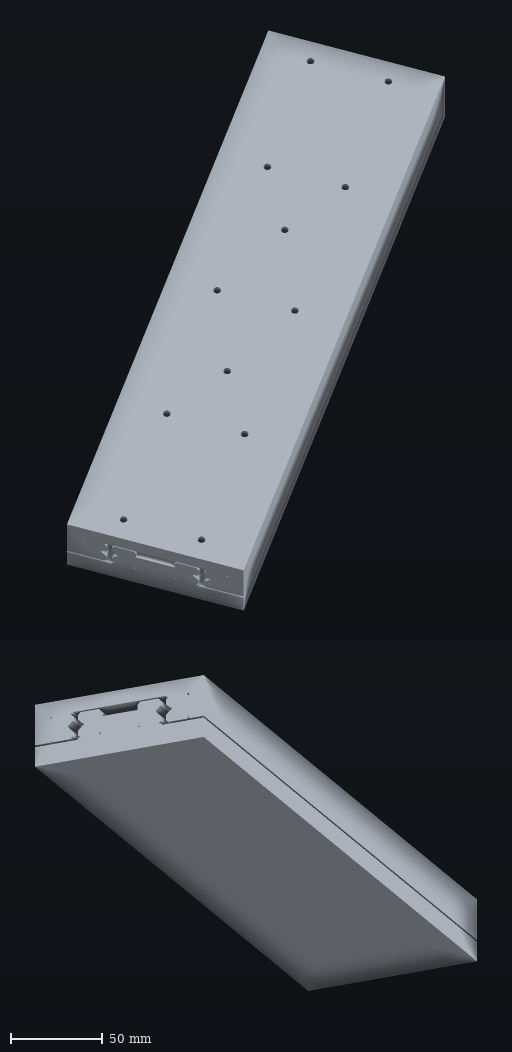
import cadquery as cq

LENGTH = 355.5
WIDTH = 101.7
HEIGHT = 36.5
HALF_WIDTH = WIDTH / 2
TOP_Z = HEIGHT / 2
BOTTOM_Z = -HEIGHT / 2

RAIL_HEIGHT = 15.0
RAIL_WIDTH = 14.0
RAIL_CHAMFER = 1.5
OUTER_RAIL_BACK_X = 42.0
INNER_RAIL_BACK_X = 11.0
OUTER_RAIL_FACE_X = OUTER_RAIL_BACK_X - RAIL_WIDTH
INNER_RAIL_FACE_X = INNER_RAIL_BACK_X + RAIL_WIDTH

VEE_DEPTH = 2.5
RELIEF_WIDTH = 1.5
RELIEF_DEPTH = 3.2
VEE_HALF_HEIGHT = VEE_DEPTH + RELIEF_WIDTH / 2

ROOF_GAP = 0.7
BASE_GAP = 1.0
RAIL_BOTTOM_Z = -5.7
RAIL_TOP_Z = RAIL_BOTTOM_Z + RAIL_HEIGHT
RAIL_MID_Z = RAIL_BOTTOM_Z + RAIL_HEIGHT / 2
RECESS_TOP_Z = RAIL_TOP_Z + ROOF_GAP
TABLE_BOTTOM_Z = RAIL_BOTTOM_Z
BASE_TOP_Z = RAIL_BOTTOM_Z - BASE_GAP
BOSS_TOP_Z = 4.5

HOLE_DIAMETER = 4.3
HOLE_X = 22.5
END_ROW_Y = 165.0
INNER_ROW_Y = 89.0
HOLE_ROWS_Y = [-END_ROW_Y, -INNER_ROW_Y, 0, INNER_ROW_Y, END_ROW_Y]
CENTRE_HOLE_Y = 51.0


def extrude_along_length(points):
    """Extrude a closed XZ outline over the full length."""
    return cq.Workplane("XZ").polyline(points).close().extrude(LENGTH / 2, both=True)


def mirrored(right_half):
    """Complete an XZ outline from its +X half, listed from one end to the other."""
    return right_half + [(-x, z) for x, z in reversed(right_half)]


def make_table():
    """Channel-shaped table that houses the rails, drilled through from the top."""
    table = extrude_along_length(mirrored([
        (HALF_WIDTH, TOP_Z),
        (HALF_WIDTH, TABLE_BOTTOM_Z),
        (OUTER_RAIL_BACK_X, TABLE_BOTTOM_Z),
        (OUTER_RAIL_BACK_X, RAIL_TOP_Z),
        (OUTER_RAIL_FACE_X, RAIL_TOP_Z),
        (OUTER_RAIL_FACE_X, RECESS_TOP_Z),
    ]))
    hole_points = [(x, y) for y in HOLE_ROWS_Y for x in (-HOLE_X, HOLE_X)]
    hole_points += [(0, -CENTRE_HOLE_Y), (0, CENTRE_HOLE_Y)]
    holes = (
        cq.Workplane("XY", origin=(0, 0, RECESS_TOP_Z))
        .pushPoints(hole_points)
        .circle(HOLE_DIAMETER / 2)
        .extrude(TOP_Z - RECESS_TOP_Z)
    )
    return table.cut(holes)


def make_base():
    """Base plate with a central boss between the inner rails."""
    return extrude_along_length(mirrored([
        (HALF_WIDTH, BOTTOM_Z),
        (HALF_WIDTH, BASE_TOP_Z),
        (INNER_RAIL_FACE_X, BASE_TOP_Z),
        (INNER_RAIL_FACE_X, RAIL_BOTTOM_Z),
        (INNER_RAIL_BACK_X, RAIL_BOTTOM_Z),
        (INNER_RAIL_BACK_X, BOSS_TOP_Z),
    ]))


def make_rail(back_x, face_x):
    """Rail with its flat back at back_x and its vee groove opening at face_x."""
    inward = 1 if back_x > face_x else -1
    vee_root_x = face_x + inward * VEE_DEPTH
    relief_x = face_x + inward * RELIEF_DEPTH
    lower_half = [
        (back_x, RAIL_BOTTOM_Z + RAIL_CHAMFER),
        (back_x - inward * RAIL_CHAMFER, RAIL_BOTTOM_Z),
        (face_x + inward * RAIL_CHAMFER, RAIL_BOTTOM_Z),
        (face_x, RAIL_BOTTOM_Z + RAIL_CHAMFER),
        (face_x, RAIL_MID_Z - VEE_HALF_HEIGHT),
        (vee_root_x, RAIL_MID_Z - RELIEF_WIDTH / 2),
        (relief_x, RAIL_MID_Z - RELIEF_WIDTH / 2),
    ]
    upper_half = [(x, 2 * RAIL_MID_Z - z) for x, z in reversed(lower_half)]
    return extrude_along_length(lower_half + upper_half)


table = make_table()
base = make_base()
outer_rails = [make_rail(side * OUTER_RAIL_BACK_X, side * OUTER_RAIL_FACE_X) for side in (-1, 1)]
inner_rails = [make_rail(side * INNER_RAIL_BACK_X, side * INNER_RAIL_FACE_X) for side in (-1, 1)]

result = cq.Compound.makeCompound(
    [table.val(), base.val()] + [rail.val() for rail in outer_rails + inner_rails]
)